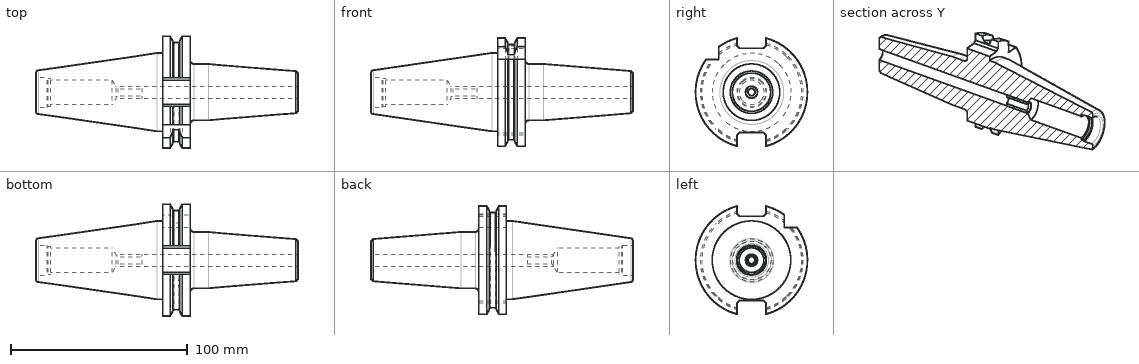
import cadquery as cq
import math

LENGTH = 148.4
REAR_X = -LENGTH / 2
FRONT_X = LENGTH / 2
TAPER_LENGTH = 68.4
TAPER_RATIO = 7 / 24
TAPER_LARGE_RADIUS = 22.3
TAPER_SMALL_RADIUS = TAPER_LARGE_RADIUS - TAPER_LENGTH * TAPER_RATIO / 2
REAR_ROUNDING = 1.3

FLANGE_RADIUS = 31.8
FLANGE_REAR_X = REAR_X + 71.7
FLANGE_FRONT_X = REAR_X + 87.4
GROOVE_X = REAR_X + 79.4
GROOVE_FLOOR_RADIUS = 28.2
GROOVE_FLOOR_HALF_WIDTH = 2.0
GROOVE_WALL_TOP_RADIUS = 29.1
GROOVE_FLANK_ANGLE = 30.0
GROOVE_CORNER_RADIUS = 0.5
GROOVE_MOUTH_HALF_WIDTH = GROOVE_FLOOR_HALF_WIDTH + (
    FLANGE_RADIUS - GROOVE_WALL_TOP_RADIUS
) * math.tan(math.radians(GROOVE_FLANK_ANGLE))

SLOT_WIDTH = 16.2
UPPER_SLOT_FLOOR = 25.0
LOWER_SLOT_FLOOR = 22.9
SLOT_CORNER_CHAMFER = 1.3
NOTCH_OFFSET = 18.5

NECK_RADIUS = 16.0
NECK_END_X = REAR_X + 97.6
NECK_FILLET = 2.1
NOSE_TIP_RADIUS = 12.0
NOSE_CHAMFER = 1.2

ENTRY_RADIUS = 8.5
ENTRY_DEPTH = 6.1
ENTRY_ROUNDING = 1.0
STEP_RADIUS = 8.0
STEP_DEPTH = 8.0
CORE_RADIUS = 7.0
CORE_DEPTH = 43.0
DRILL_POINT_HALF_ANGLE = 59.0
PASSAGE_RADIUS = 3.4
CONE_DEPTH = (CORE_RADIUS - PASSAGE_RADIUS) / math.tan(math.radians(DRILL_POINT_HALF_ANGLE))

SCREW_REAR_X = REAR_X + CORE_DEPTH + CONE_DEPTH
SCREW_LENGTH = 14.8
SCREW_HOLE_RADIUS = 2.0
SCREW_SINK_RADIUS = 3.0
SCREW_SINK_DEPTH = SCREW_SINK_RADIUS - SCREW_HOLE_RADIUS


def revolve_about_x(half_profile):
    """Turn a closed profile drawn as (x, radius) around the X axis."""
    return half_profile.close().revolve(360, (0, 0, 0), (1, 0, 0))


def holder_blank():
    """Taper, plain flange and nose as one solid of revolution."""
    taper_angle = math.atan(TAPER_RATIO / 2)
    tangent_length = REAR_ROUNDING * math.tan((math.pi / 2 - taper_angle) / 2)
    face_radius = TAPER_SMALL_RADIUS - tangent_length

    def rounding_point(angle):
        """Point of the rear rounding, at an angle from the radial direction."""
        x = REAR_X + REAR_ROUNDING - REAR_ROUNDING * math.sin(angle)
        return (x, face_radius + REAR_ROUNDING * math.cos(angle))

    middle_angle = (math.pi / 2 + taper_angle) / 2
    profile = (
        cq.Workplane("XZ")
        .moveTo(REAR_X, 0)
        .lineTo(REAR_X, face_radius)
        .threePointArc(rounding_point(middle_angle), rounding_point(taper_angle))
        .lineTo(REAR_X + TAPER_LENGTH, TAPER_LARGE_RADIUS)
        .lineTo(FLANGE_REAR_X, TAPER_LARGE_RADIUS)
        .lineTo(FLANGE_REAR_X, FLANGE_RADIUS)
        .lineTo(FLANGE_FRONT_X, FLANGE_RADIUS)
        .lineTo(FLANGE_FRONT_X, NECK_RADIUS + NECK_FILLET)
        .radiusArc((FLANGE_FRONT_X + NECK_FILLET, NECK_RADIUS), -NECK_FILLET)
        .lineTo(NECK_END_X, NECK_RADIUS)
        .lineTo(FRONT_X - NOSE_CHAMFER, NOSE_TIP_RADIUS)
        .lineTo(FRONT_X, NOSE_TIP_RADIUS - NOSE_CHAMFER)
        .lineTo(FRONT_X, 0)
    )
    return revolve_about_x(profile)


def gripper_groove():
    """Ring cutter: V flanks above short straight walls, with rounded floor corners."""
    floor_edge = GROOVE_FLOOR_HALF_WIDTH - GROOVE_CORNER_RADIUS
    corner_top = GROOVE_FLOOR_RADIUS + GROOVE_CORNER_RADIUS
    profile = (
        cq.Workplane("XZ")
        .moveTo(GROOVE_X - GROOVE_MOUTH_HALF_WIDTH, FLANGE_RADIUS)
        .lineTo(GROOVE_X - GROOVE_FLOOR_HALF_WIDTH, GROOVE_WALL_TOP_RADIUS)
        .lineTo(GROOVE_X - GROOVE_FLOOR_HALF_WIDTH, corner_top)
        .radiusArc((GROOVE_X - floor_edge, GROOVE_FLOOR_RADIUS), -GROOVE_CORNER_RADIUS)
        .lineTo(GROOVE_X + floor_edge, GROOVE_FLOOR_RADIUS)
        .radiusArc((GROOVE_X + GROOVE_FLOOR_HALF_WIDTH, corner_top), -GROOVE_CORNER_RADIUS)
        .lineTo(GROOVE_X + GROOVE_FLOOR_HALF_WIDTH, GROOVE_WALL_TOP_RADIUS)
        .lineTo(GROOVE_X + GROOVE_MOUTH_HALF_WIDTH, FLANGE_RADIUS)
    )
    return revolve_about_x(profile)


def flange_block(width, height):
    """Box across the flange thickness, standing on z = 0 with its middle at y = 0."""
    thickness = FLANGE_FRONT_X - FLANGE_REAR_X
    block = cq.Workplane("XY").box(thickness, width, height, centered=(False, True, False))
    return block.translate((FLANGE_REAR_X, 0, 0))


def drive_slot(floor_height):
    """Upward-opening slot cutter with chamfered floor corners."""
    slot = flange_block(SLOT_WIDTH, FLANGE_RADIUS - floor_height)
    slot = slot.faces("<Z").edges("|X").chamfer(SLOT_CORNER_CHAMFER)
    return slot.translate((0, 0, floor_height))


def orientation_notch():
    """Square corner cutter on the -Y, +Z side of the flange."""
    size = FLANGE_RADIUS - NOTCH_OFFSET
    return flange_block(size, size).translate((0, -NOTCH_OFFSET - size / 2, NOTCH_OFFSET))


def bore():
    """Stepped drawbar bore with a drill point and a passage through the nose."""
    profile = (
        cq.Workplane("XZ")
        .moveTo(REAR_X, 0)
        .lineTo(REAR_X, ENTRY_RADIUS + ENTRY_ROUNDING)
        .radiusArc((REAR_X + ENTRY_ROUNDING, ENTRY_RADIUS), -ENTRY_ROUNDING)
        .lineTo(REAR_X + ENTRY_DEPTH, ENTRY_RADIUS)
        .lineTo(REAR_X + ENTRY_DEPTH + ENTRY_RADIUS - STEP_RADIUS, STEP_RADIUS)
        .lineTo(REAR_X + STEP_DEPTH, STEP_RADIUS)
        .lineTo(REAR_X + STEP_DEPTH, CORE_RADIUS)
        .lineTo(REAR_X + CORE_DEPTH, CORE_RADIUS)
        .lineTo(REAR_X + CORE_DEPTH + CONE_DEPTH, PASSAGE_RADIUS)
        .lineTo(FRONT_X, PASSAGE_RADIUS)
        .lineTo(FRONT_X, 0)
    )
    return revolve_about_x(profile)


def make_holder():
    upper_slot = drive_slot(UPPER_SLOT_FLOOR)
    lower_slot = drive_slot(LOWER_SLOT_FLOOR).rotate((0, 0, 0), (1, 0, 0), 180)
    return (
        holder_blank()
        .cut(gripper_groove())
        .cut(upper_slot)
        .cut(lower_slot)
        .cut(orientation_notch())
        .cut(bore())
    )


def make_stop_screw():
    """Plain sleeve with a countersunk through hole."""
    profile = (
        cq.Workplane("XZ")
        .moveTo(SCREW_REAR_X, SCREW_SINK_RADIUS)
        .lineTo(SCREW_REAR_X, PASSAGE_RADIUS)
        .lineTo(SCREW_REAR_X + SCREW_LENGTH, PASSAGE_RADIUS)
        .lineTo(SCREW_REAR_X + SCREW_LENGTH, SCREW_HOLE_RADIUS)
        .lineTo(SCREW_REAR_X + SCREW_SINK_DEPTH, SCREW_HOLE_RADIUS)
    )
    return revolve_about_x(profile)


holder = make_holder()
stop_screw = make_stop_screw()

result = cq.Compound.makeCompound([holder.val(), stop_screw.val()])